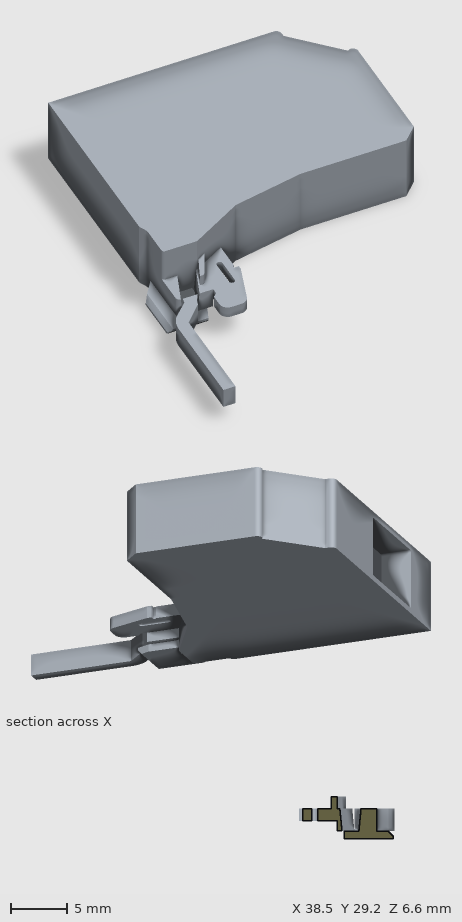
import cadquery as cq


housing_height = 6.6
housing_top_y = 28.0
shoulder_x = 18.48
shoulder_chamfer = 1.42
taper_start_y = 16.1
taper_knee = (19.8, 9.05)
taper_end = (22.7, 3.8)
corner_fillet = 0.27

step_y = 0.4
step_start_x = 18.7
step_arc_start = (19.45, 0.335)
step_arc_middle = (19.55, 0.37)
step_end_x = 19.67

bead_radius = 0.55
lower_bead_y = 22.85
lower_bead_end_x = 0.92
upper_bead_x = 5.1
upper_cut_x = 5.25

window_y_min = 4.75
window_y_max = 13.75
window_z_min = 0.5
window_z_max = 6.0
window_radius = 0.2
window_depth = 2.85

layer_z_min = 1.25
layer_z_max = 3.25

nose_x = 25.75
nose_top_y = 3.93
nose_fillet = 0.4
slot_lower_root_y = 2.05
slot_lower_tip_y = 0.92
slot_upper_root_y = 3.5
slot_upper_tip_y = 2.4
slot_draft = 0.2

lead_end_x = 38.5
lead_bottom_y = -1.2
lead_thickness = 1.2
lead_upper_bends = [(26.53, 1.95), (27.03, 1.8), (28.88, 0)]
lead_lower_bends = [(26.5, 0.6), (26.3, 0.8)]
lead_arc_start = (27.72, -0.65)
lead_arc_end_x = 29.3

hook_thickness = 1.1
hook_neck_y = 7.0
hook_tooth_x = 23.9
hook_tooth_y = 7.35
hook_tooth_width = 0.42
hook_undercut_width = 0.27
hook_undercut_depth = 0.1
hook_head_x = 28.65
hook_head_bottom_y = 3.55
hook_top_arc_start = (27.95, 6.2)
hook_top_arc_middle = (28.45, 5.9)
hook_top_arc_end_y = 5.3
hook_bottom_arc_start_y = 4.4
hook_bottom_arc_middle = (28.45, 3.85)
hook_bottom_arc_end_x = 27.95
hook_notch_x = 26.35
hook_slot_x_min = 22.65
hook_slot_x_max = 25.7
hook_slot_y = 5.93
hook_slot_width = 0.58

rib_end_x = 24.75
rib_upper_root_y = 5.27
rib_upper_corner = (24.6, 3.6)
rib_end_upper_y = 3.45
rib_end_lower_y = 3.1
rib_lower_corner = (24.4, 3.25)
rib_lower_root_y = 4.6
rib_z_max = 4.3

latch_z_min = 0.55
latch_x_min = 20.2
latch_slope_end_x = 22.3
latch_x_max = 27.03
latch_corner_cut = 0.4
latch_corner_y = -0.85
latch_y_min = -1.08
latch_tip_slope_x = 25.87
latch_tip_y = 2.85
latch_y_max = 3.3
latch_bevel_y = -0.65
latch_bevel_z = 0.77
latch_end_bevel_z = 1.0

root_x = 21.18
hook_root_x = 20.02


def plate(outline, z_min, z_max):
    """Extrude a closed XY outline between two heights."""
    return outline.close().extrude(z_max - z_min).translate((0, 0, z_min))


def round_upright_edge(solid, x, y, radius):
    """Fillet the edge parallel to Z that stands at (x, y)."""
    middle_z = solid.val().Center().z
    return solid.edges("|Z").edges(cq.selectors.NearestToPointSelector((x, y, middle_z))).fillet(radius)


def make_housing():
    bead_mid = bead_radius * (1 - 0.5 ** 0.5)
    cut_rise = upper_cut_x - lower_bead_end_x
    outline = (
        cq.Workplane("XY")
        .moveTo(0, 0)
        .lineTo(step_start_x, 0)
        .lineTo(*step_arc_start)
        .threePointArc(step_arc_middle, (step_end_x, step_y))
        .lineTo(taper_end[0], step_y)
        .lineTo(*taper_end)
        .lineTo(*taper_knee)
        .lineTo(shoulder_x, taper_start_y)
        .lineTo(shoulder_x, housing_top_y - shoulder_chamfer)
        .lineTo(shoulder_x - shoulder_chamfer, housing_top_y)
        .lineTo(upper_bead_x + bead_radius, housing_top_y)
        .threePointArc(
            (upper_bead_x + bead_mid, housing_top_y - bead_mid),
            (upper_bead_x, housing_top_y - bead_radius),
        )
        .lineTo(upper_cut_x, lower_bead_y + cut_rise)
        .lineTo(lower_bead_end_x, lower_bead_y)
        .lineTo(bead_radius, lower_bead_y)
        .threePointArc((bead_mid, lower_bead_y - bead_mid), (0, lower_bead_y - bead_radius))
    )
    return round_upright_edge(plate(outline, 0, housing_height), taper_end[0], step_y, corner_fillet)


def make_window():
    width = window_y_max - window_y_min
    height = window_z_max - window_z_min
    return (
        cq.Workplane("YZ")
        .center(window_y_min + width / 2, window_z_min + height / 2)
        .rect(width, height)
        .extrude(window_depth)
        .edges("|X")
        .fillet(window_radius)
    )


def slot_section(z, widening):
    """Closed wire of the nose slot at height z, each side moved outwards by widening."""
    return cq.Wire.makePolygon(
        [
            cq.Vector(taper_end[0], slot_lower_root_y - widening, z),
            cq.Vector(nose_x, slot_lower_tip_y - widening, z),
            cq.Vector(nose_x, slot_upper_tip_y + widening, z),
            cq.Vector(taper_end[0], slot_upper_root_y + widening, z),
        ],
        close=True,
    )


def make_nose():
    outline = (
        cq.Workplane("XY")
        .moveTo(root_x, step_y)
        .lineTo(nose_x, step_y)
        .lineTo(nose_x, nose_top_y)
        .lineTo(root_x, nose_top_y)
    )
    return round_upright_edge(plate(outline, layer_z_min, layer_z_max), nose_x, step_y, nose_fillet)


def make_nose_slot():
    """Slot with drafted sides, open at the top and at the tip of the nose."""
    sections = [slot_section(layer_z_min, 0), slot_section(layer_z_max, slot_draft)]
    return cq.Workplane(cq.Solid.makeLoft(sections, True))


def make_lead():
    outline = cq.Workplane("XY").moveTo(nose_x, slot_upper_tip_y)
    for bend in lead_upper_bends:
        outline = outline.lineTo(*bend)
    outline = outline.lineTo(lead_end_x, lead_bottom_y + lead_thickness)
    outline = outline.lineTo(lead_end_x, lead_bottom_y)
    outline = outline.lineTo(lead_arc_end_x, lead_bottom_y)
    outline = outline.tangentArcPoint(lead_arc_start, relative=False)
    for bend in lead_lower_bends:
        outline = outline.lineTo(*bend)
    outline = outline.lineTo(nose_x, slot_lower_tip_y)
    return plate(outline, layer_z_min, layer_z_max)


def make_hook():
    undercut_y = hook_neck_y - hook_undercut_depth
    outline = (
        cq.Workplane("XY")
        .moveTo(hook_root_x, hook_neck_y)
        .lineTo(hook_tooth_x - hook_undercut_width, hook_neck_y)
        .lineTo(hook_tooth_x - hook_undercut_width, undercut_y)
        .lineTo(hook_tooth_x, undercut_y)
        .lineTo(hook_tooth_x, hook_tooth_y)
        .lineTo(hook_tooth_x + hook_tooth_width, hook_tooth_y)
        .lineTo(*hook_top_arc_start)
        .threePointArc(hook_top_arc_middle, (hook_head_x, hook_top_arc_end_y))
        .lineTo(hook_head_x, hook_bottom_arc_start_y)
        .threePointArc(hook_bottom_arc_middle, (hook_bottom_arc_end_x, hook_head_bottom_y))
        .lineTo(hook_notch_x + nose_top_y - hook_head_bottom_y, hook_head_bottom_y)
        .lineTo(hook_notch_x, nose_top_y)
        .lineTo(hook_root_x, nose_top_y)
    )
    z_min = layer_z_max - hook_thickness
    slot_length = hook_slot_x_max - hook_slot_x_min
    slot = (
        cq.Workplane("XY", origin=(hook_slot_x_min + slot_length / 2, hook_slot_y, z_min))
        .slot2D(slot_length, hook_slot_width)
        .extrude(hook_thickness)
    )
    return plate(outline, z_min, layer_z_max).cut(slot)


def make_rib():
    outline = (
        cq.Workplane("XY")
        .moveTo(root_x, rib_upper_root_y)
        .lineTo(*rib_upper_corner)
        .lineTo(rib_end_x, rib_end_upper_y)
        .lineTo(rib_end_x, rib_end_lower_y)
        .lineTo(*rib_lower_corner)
        .lineTo(root_x, rib_lower_root_y)
    )
    return plate(outline, layer_z_max, rib_z_max)


def make_latch():
    outline = (
        cq.Workplane("XY")
        .moveTo(latch_x_min, step_y)
        .lineTo(latch_slope_end_x, latch_y_min)
        .lineTo(latch_x_max - latch_corner_cut, latch_y_min)
        .lineTo(latch_x_max, latch_corner_y)
        .lineTo(latch_x_max, latch_tip_y)
        .lineTo(latch_tip_slope_x, latch_y_max)
        .lineTo(latch_x_min, latch_y_max)
    )
    side_bevel = (
        cq.Workplane("YZ")
        .moveTo(latch_bevel_y, layer_z_min)
        .lineTo(latch_y_min, latch_bevel_z)
        .lineTo(latch_y_min, layer_z_min)
        .close()
        .extrude(latch_x_max)
    )
    end_bevel = (
        cq.Workplane("XZ", origin=(0, latch_y_max, 0))
        .moveTo(latch_x_max, latch_end_bevel_z)
        .lineTo(latch_x_max - latch_corner_cut, latch_z_min)
        .lineTo(latch_x_max, latch_z_min)
        .close()
        .extrude(latch_y_max - latch_y_min)
    )
    return plate(outline, latch_z_min, layer_z_min).cut(side_bevel).cut(end_bevel)


result = (
    make_housing()
    .union(make_nose())
    .cut(make_window())
    .cut(make_nose_slot())
    .union(make_hook())
    .union(make_rib())
    .union(make_latch())
    .union(make_lead())
)